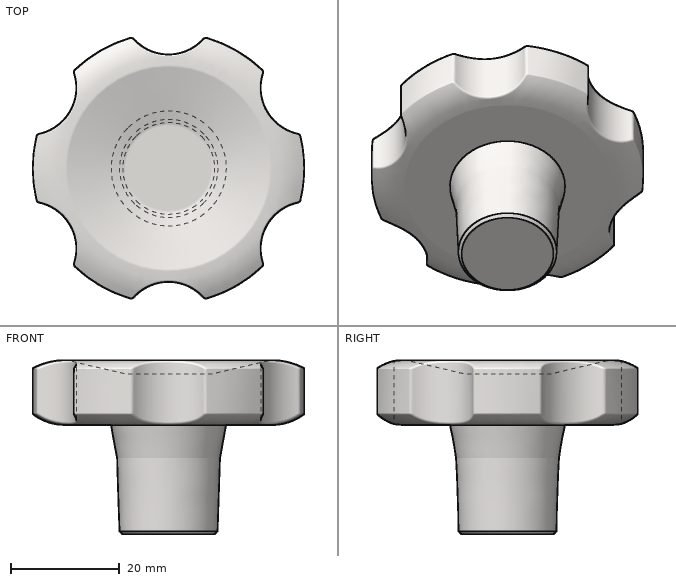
import cadquery as cq
import math

head_radius = 24.95
head_height = 11.95
flat_radius = 18.95
top_drop = 1.5
bottom_drop = 2.05

lobe_count = 6
scallop_radius = 8.65
scallop_center = 29.5
corner_fillet = 0.7
edge_fillet = 0.4

dish_radius = 18.7
dish_floor_radius = 8.0
dish_depth = 2.5
dish_rim_tolerance = 0.05
dish_rim_fillet = 1.0
dish_floor_fillet = 1.4

stem_length = 20.05
neck_length = 6.05
neck_top_radius = 10.55
neck_radius = 9.45
stem_end_radius = 9.0
stem_chamfer = 0.6


def crown_midpoint(drop):
    """Radius and fall halfway along a crown arc that is tangent to the flat face."""
    run = head_radius - flat_radius
    arc_radius = (run**2 + drop**2) / (2 * drop)
    half_angle = math.asin(run / arc_radius) / 2
    return flat_radius + arc_radius * math.sin(half_angle), arc_radius * (1 - math.cos(half_angle))


def make_head():
    """Crowned disc, resting on Z = 0, with scallops around its rim."""
    top_mid_radius, top_mid_drop = crown_midpoint(top_drop)
    bottom_mid_radius, bottom_mid_drop = crown_midpoint(bottom_drop)
    disc = (
        cq.Workplane("XZ")
        .lineTo(flat_radius, 0)
        .threePointArc((bottom_mid_radius, bottom_mid_drop), (head_radius, bottom_drop))
        .lineTo(head_radius, head_height - top_drop)
        .threePointArc((top_mid_radius, head_height - top_mid_drop), (flat_radius, head_height))
        .lineTo(0, head_height)
        .close()
        .revolve(360, (0, 0, 0), (0, 1, 0))
    )
    scallops = (
        cq.Workplane("XY")
        .polarArray(scallop_center, 90, 360, lobe_count)
        .circle(scallop_radius)
        .extrude(head_height)
    )
    disc = disc.cut(scallops)
    corner_reach = (head_radius + scallop_center - scallop_radius) / 2
    corners = [
        edge for edge in disc.edges("|Z").vals()
        if math.hypot(edge.Center().x, edge.Center().y) > corner_reach
    ]
    disc = disc.newObject(corners).fillet(corner_fillet)
    outline = [
        edge for edge in disc.edges("not |Z").vals()
        if math.hypot(edge.startPoint().x, edge.startPoint().y) > flat_radius + edge_fillet
        and math.hypot(edge.endPoint().x, edge.endPoint().y) > flat_radius + edge_fillet
    ]
    return disc.newObject(outline).fillet(edge_fillet)


def make_dish():
    """Shallow cone cut into the top face, with a flat floor."""
    return (
        cq.Workplane("XZ")
        .moveTo(0, head_height - dish_depth)
        .lineTo(dish_floor_radius, head_height - dish_depth)
        .lineTo(dish_radius, head_height)
        .lineTo(0, head_height)
        .close()
        .revolve(360, (0, 0, 0), (0, 1, 0))
    )


def make_stem():
    """Flared neck above a tapered stem with a chamfered end."""
    return (
        cq.Workplane("XZ")
        .lineTo(neck_top_radius, 0)
        .lineTo(neck_radius, -neck_length)
        .lineTo(stem_end_radius, stem_chamfer - stem_length)
        .lineTo(stem_end_radius - stem_chamfer, -stem_length)
        .lineTo(0, -stem_length)
        .close()
        .revolve(360, (0, 0, 0), (0, 1, 0))
    )


def cut_dish(head):
    """Cut the dish into the head and round its rim and floor edges."""
    head = head.cut(make_dish())
    floor_edge = head.edges(cq.selectors.NearestToPointSelector((0, 0, head_height - dish_depth)))
    head = floor_edge.fillet(dish_floor_fillet)
    rim_edge = [
        edge for edge in head.edges("%CIRCLE").vals()
        if edge.Center().z > head_height / 2 and abs(edge.radius() - dish_radius) < dish_rim_tolerance
    ]
    return head.newObject(rim_edge).fillet(dish_rim_fillet)


result = cut_dish(make_head()).union(make_stem())